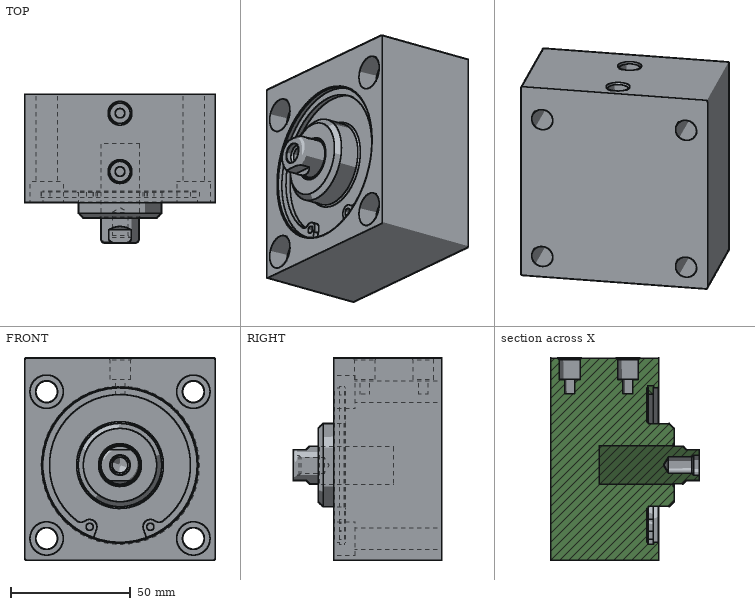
import cadquery as cq
import math

block_width = 80.0
block_height = 85.0
block_depth = 45.5
block_top = 45.0
edge_radius = 0.8

mount_spacing = 61.6
mount_hole_diameter = 9.0
counterbore_diameter = 14.0
counterbore_depth = 9.0

port_positions = (13.0, 37.5)
port_diameter = 8.57
port_mouth_diameter = 10.0
port_depth = 9.0
port_passage_diameter = 4.0
port_passage_depth = 15.0

recess_diameter = 64.8
recess_mouth_diameter = 65.6
recess_depth = 5.0
ring_thickness = 2.2
ring_groove_diameter = 66.4
ring_front = 2.3
groove_back = ring_front + ring_thickness

collar_diameter = 35.0
collar_length = 6.5
collar_chamfer = 2.1
collar_foot_radius = 0.75

wiper_mouth_diameter = 18.0
wiper_seat_diameter = 17.7
wiper_lip_diameter = 16.54
wiper_mouth_depth = 0.3
wiper_lip_depth = 0.6

ring_inner_diameter = 59.2
lug_hole_diameter = 3.0
lug_radius = 3.1
lug_x = 12.75
lug_z = -25.9
lug_blend_radius = 3.0
ring_gap_half_angle = math.radians(20)

rod_diameter = 16.0
rod_tip = 17.0
rod_inner_end = 25.0
rod_end_radius = 1.65
flat_width = 13.0
flat_length = 5.5
rod_thread_diameter = 6.65
rod_thread_mouth_diameter = 8.25
rod_thread_rim_diameter = 8.57
rod_thread_mouth_depth = 2.4
rod_thread_depth = 13.0
drill_half_angle = math.radians(59.0)


def turned(profile):
    """Solid of revolution about the Y axis from (radius, y) points."""
    return cq.Workplane("XY").polyline(profile).close().revolve(360, (0, 0, 0), (0, 1, 0))


def disc(diameter, front, length):
    """Cylinder about the Y axis running from y = front towards the back."""
    return cq.Workplane("XZ", origin=(0, front, 0)).circle(diameter / 2).extrude(-length)


def mounting_hole_tools():
    corners = cq.Workplane("XZ").rect(mount_spacing, mount_spacing, forConstruction=True).vertices()
    through = corners.circle(mount_hole_diameter / 2).extrude(-block_depth)
    counterbores = corners.circle(counterbore_diameter / 2).extrude(-counterbore_depth)
    return through.union(counterbores)


def port_tool(y):
    mouth_radius = port_mouth_diameter / 2
    radius = port_diameter / 2
    passage_radius = port_passage_diameter / 2
    profile = [
        (0, 0),
        (mouth_radius, 0),
        (radius, radius - mouth_radius),
        (radius, -port_depth),
        (passage_radius, -port_depth),
        (passage_radius, -port_passage_depth),
        (0, -port_passage_depth),
    ]
    tool = cq.Workplane("XZ").polyline(profile).close().revolve(360, (0, 0, 0), (0, 1, 0))
    return tool.translate((0, y, block_top))


def recess_tool():
    radius = recess_diameter / 2
    mouth_radius = recess_mouth_diameter / 2
    groove_radius = ring_groove_diameter / 2
    return turned([
        (0, 0),
        (mouth_radius, 0),
        (radius, mouth_radius - radius),
        (radius, ring_front),
        (groove_radius, ring_front),
        (groove_radius, groove_back),
        (radius, groove_back),
        (radius, recess_depth),
        (0, recess_depth),
    ])


def make_collar():
    radius = collar_diameter / 2
    profile = (
        cq.Workplane("XY")
        .moveTo(0, recess_depth)
        .lineTo(radius + collar_foot_radius, recess_depth)
        .radiusArc((radius, recess_depth - collar_foot_radius), collar_foot_radius)
        .lineTo(radius, collar_chamfer - collar_length)
        .lineTo(radius - collar_chamfer, -collar_length)
        .lineTo(0, -collar_length)
        .close()
    )
    return profile.revolve(360, (0, 0, 0), (0, 1, 0))


def rod_opening_tool():
    seat_y = wiper_mouth_depth - collar_length
    lip_y = wiper_lip_depth - collar_length
    return turned([
        (0, -collar_length),
        (wiper_mouth_diameter / 2, -collar_length),
        (wiper_mouth_diameter / 2, seat_y),
        (wiper_seat_diameter / 2, seat_y),
        (wiper_lip_diameter / 2, lip_y),
        (rod_diameter / 2, lip_y),
        (rod_diameter / 2, rod_inner_end),
        (0, rod_inner_end),
    ])


def make_housing():
    block = (
        cq.Workplane("XZ", origin=(0, 0, block_top - block_height / 2))
        .rect(block_width, block_height)
        .extrude(-block_depth)
        .edges("|Y")
        .fillet(edge_radius)
    )
    block = block.cut(mounting_hole_tools()).cut(recess_tool())
    for y in port_positions:
        block = block.cut(port_tool(y))
    return block.union(make_collar()).cut(rod_opening_tool())


def make_retaining_ring():
    ring = disc(ring_groove_diameter, ring_front, ring_thickness)
    ring = ring.cut(disc(ring_inner_diameter, ring_front, ring_thickness))
    ring_middle = ring_front + ring_thickness / 2
    lug_centers = [(-lug_x, lug_z), (lug_x, lug_z)]
    lugs = (
        cq.Workplane("XZ", origin=(0, ring_front, 0))
        .pushPoints(lug_centers)
        .circle(lug_radius)
        .extrude(-ring_thickness)
    )
    gap_reach = ring_groove_diameter
    gap_half_width = gap_reach * math.tan(ring_gap_half_angle)
    gap = (
        cq.Workplane("XZ", origin=(0, ring_front, 0))
        .polyline([(0, 0), (-gap_half_width, -gap_reach), (gap_half_width, -gap_reach)])
        .close()
        .extrude(-ring_thickness)
    )
    holes = (
        cq.Workplane("XZ", origin=(0, ring_front, 0))
        .pushPoints(lug_centers)
        .circle(lug_hole_diameter / 2)
        .extrude(-ring_thickness)
    )
    ring = ring.union(lugs).cut(gap)
    for side in (-1, 1):
        inner_corner = cq.selectors.NearestToPointSelector((side * (lug_x + lug_radius), ring_middle, lug_z))
        ring = ring.edges("|Y").edges(inner_corner).fillet(lug_blend_radius)
    return ring.cut(holes)


def make_rod():
    rod = disc(rod_diameter, -rod_tip, rod_tip + rod_inner_end)
    rod = rod.faces("<Y").edges().fillet(rod_end_radius)
    radius = rod_thread_diameter / 2
    mouth_radius = rod_thread_mouth_diameter / 2
    rim_radius = rod_thread_rim_diameter / 2
    mouth_end = rod_thread_mouth_depth - rod_tip
    thread_end = rod_thread_depth - rod_tip
    thread = turned([
        (0, -rod_tip),
        (rim_radius, -rod_tip),
        (mouth_radius, rim_radius - mouth_radius - rod_tip),
        (mouth_radius, mouth_end),
        (radius, mouth_end + mouth_radius - radius),
        (radius, thread_end),
        (0, thread_end + radius / math.tan(drill_half_angle)),
    ])
    flat_depth = (rod_diameter - flat_width) / 2
    flat_end = flat_length - rod_tip
    flat = (
        cq.Workplane("YZ")
        .polyline([
            (-rod_tip, flat_width / 2),
            (flat_end, flat_width / 2),
            (flat_end + flat_depth, rod_diameter / 2),
            (-rod_tip, rod_diameter / 2),
        ])
        .close()
        .extrude(rod_diameter / 2, both=True)
    )
    return rod.cut(thread).cut(flat).cut(flat.mirror("XY"))


housing = make_housing()
retaining_ring = make_retaining_ring()
rod = make_rod()

result = cq.Compound.makeCompound([housing.val(), retaining_ring.val(), rod.val()])